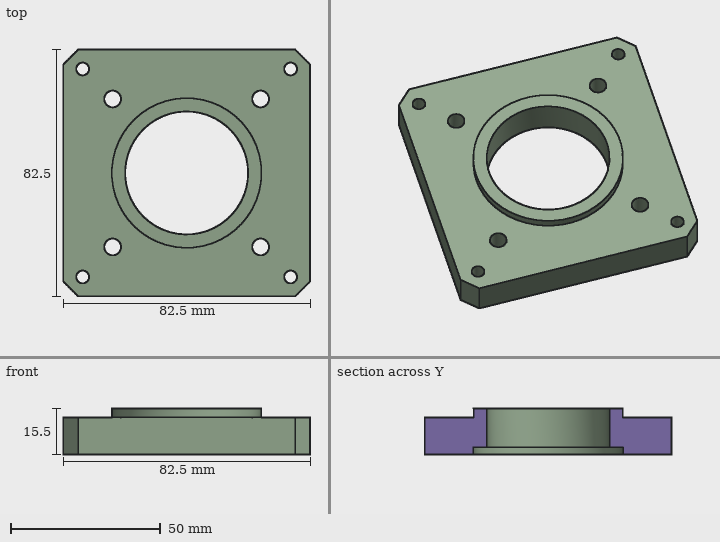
import cadquery as cq

plate_side = 82.5
plate_thickness = 12.45
corner_chamfer = 5.0

total_height = 15.5
ring_diameter = 50.0
bore_diameter = 41.0

recess_diameter = ring_diameter
recess_depth = 2.5

corner_hole_diameter = 4.2
corner_hole_spacing = 69.5
inner_hole_diameter = 5.5
inner_hole_spacing = 49.4


def drill_square_pattern(body, spacing, diameter):
    """Drill four through holes at the corners of a centred square."""
    drills = (
        cq.Workplane("XY")
        .rarray(spacing, spacing, 2, 2)
        .circle(diameter / 2)
        .extrude(total_height)
    )
    return body.cut(drills)


plate = (
    cq.Workplane("XY")
    .box(plate_side, plate_side, plate_thickness, centered=(True, True, False))
    .edges("|Z")
    .chamfer(corner_chamfer)
)
ring = cq.Workplane("XY").circle(ring_diameter / 2).extrude(total_height)
bore = cq.Workplane("XY").circle(bore_diameter / 2).extrude(total_height)
recess = cq.Workplane("XY").circle(recess_diameter / 2).extrude(recess_depth)

result = plate.union(ring).cut(bore).cut(recess)
result = drill_square_pattern(result, corner_hole_spacing, corner_hole_diameter)
result = drill_square_pattern(result, inner_hole_spacing, inner_hole_diameter)